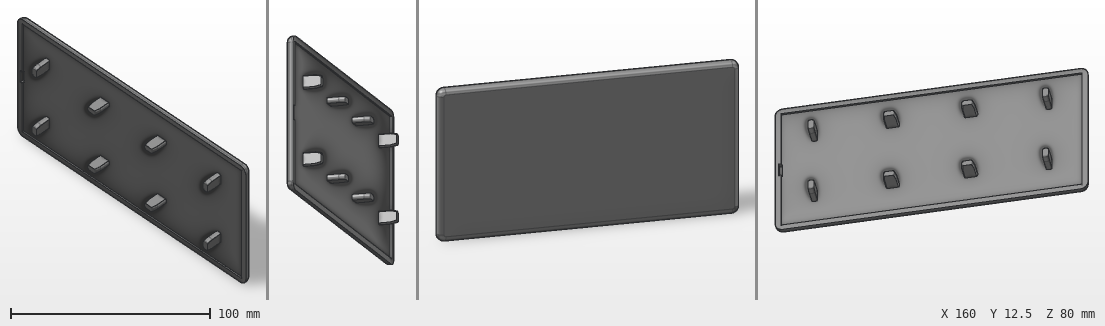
import cadquery as cq

plate_length = 160.0
plate_height = 80.0
plate_thickness = 4.0
corner_radius = 4.0
edge_land = 1.0
back_radius = plate_thickness - edge_land

rim_width = 3.0
recess_depth = 1.0

notch_offset = 1.8
notch_width = 1.8
notch_height = 7.5
notch_depth = 2.4

peg_reach = 8.5
peg_length = 7.0
peg_thickness = 3.0
peg_end_bow = 0.6
peg_taper_start = 5.3
peg_tip_inset = 0.6
peg_tip_radius = 0.3
peg_row_z = plate_height / 4
inner_peg_x = plate_length / 8
outer_peg_x = 3 * plate_length / 8


def facing_front(y):
    """Workplane at depth y, drawn in X and Z, with its normal towards -Y."""
    return cq.Workplane("XZ", origin=(0, y, 0))


def make_plate():
    plate = (
        facing_front(plate_thickness)
        .rect(plate_length, plate_height)
        .extrude(plate_thickness)
        .edges("|Y")
        .fillet(corner_radius)
        .faces(">Y")
        .edges()
        .fillet(back_radius)
    )
    recess = (
        facing_front(recess_depth)
        .rect(plate_length - 2 * rim_width, plate_height - 2 * rim_width)
        .extrude(recess_depth)
    )
    notch_x = -plate_length / 2 + notch_offset + notch_width / 2
    notch = (
        facing_front(notch_depth)
        .center(notch_x, 0)
        .rect(notch_width, notch_height)
        .extrude(notch_depth)
    )
    return plate.cut(recess).cut(notch)


def peg_outline(workplane, length):
    """Bar with straight long sides and bowed ends."""
    half_length = length / 2
    half_side = half_length - peg_end_bow
    half_thickness = peg_thickness / 2
    return (
        workplane.moveTo(-half_side, -half_thickness)
        .lineTo(half_side, -half_thickness)
        .threePointArc((half_length, 0), (half_side, half_thickness))
        .lineTo(-half_side, half_thickness)
        .threePointArc((-half_length, 0), (-half_side, -half_thickness))
        .close()
    )


def make_peg():
    """Peg lying along X, rising from the recess floor towards -Y."""
    shank = peg_outline(facing_front(recess_depth), peg_length)
    shank = shank.extrude(recess_depth + peg_taper_start)
    tip = peg_outline(facing_front(-peg_taper_start), peg_length)
    tip = tip.workplane(offset=peg_reach - peg_taper_start)
    tip = peg_outline(tip, peg_length - 2 * peg_tip_inset).loft(ruled=True)
    tip = tip.faces("<Y").edges("%CIRCLE").fillet(peg_tip_radius)
    return shank.union(tip)


flat_peg = make_peg()
upright_peg = flat_peg.rotate((0, 0, 0), (0, 1, 0), 90)

result = make_plate()
for side in (-1, 1):
    for row in (-1, 1):
        z = row * peg_row_z
        result = result.union(flat_peg.translate((side * inner_peg_x, 0, z)))
        result = result.union(upright_peg.translate((side * outer_peg_x, 0, z)))